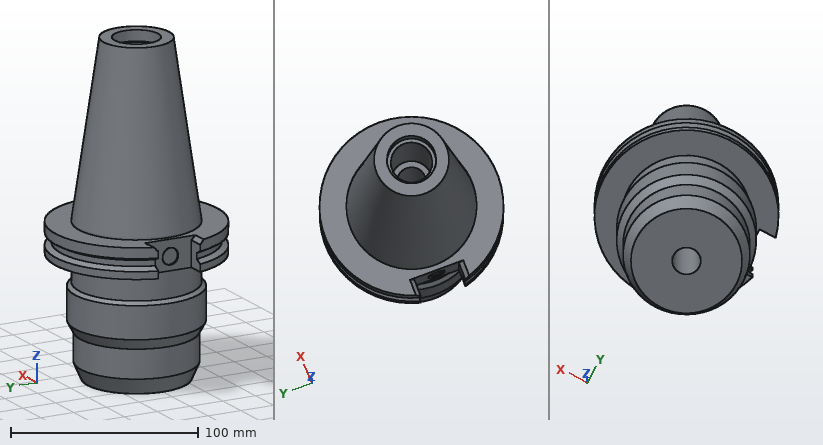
import cadquery as cq

total_height = 190.5
flange_diameter = 98.5
flange_radius = flange_diameter / 2
groove_radius = 45.7
taper_large_radius = 34.9
taper_small_radius = 20.0
neck_radius = taper_large_radius
collar_radius = 37.3
nose_radius = 34.0
nose_tip_radius = 29.7

nose_bevel_top = 9.5
nose_top = 26.3
collar_bottom = 32.5
collar_top = 51.6
neck_bottom = 53.5
flange_bottom = 70.0
flange_top = 87.6
taper_start = flange_top + 1.1

groove_middle = 78.0
groove_floor_width = 3.5
groove_mouth_width = 7.2

slot_floor_distance = 37.7
slot_half_width = 12.8
slot_bevel = 2.5
dimple_radius = 4.8
dimple_depth = 1.0

bore_radius = 7.6
thread_radius = 11.0
thread_depth = 47.6
counterbore_radius = 13.1
counterbore_depth = 6.3


def make_body():
    """Revolve the outer half profile, listed as (radius, height) from the nose up."""
    profile = [
        (0, 0),
        (nose_tip_radius, 0),
        (nose_radius, nose_bevel_top),
        (nose_radius, nose_top),
        (collar_radius, collar_bottom),
        (collar_radius, collar_top),
        (neck_radius, neck_bottom),
        (neck_radius, flange_bottom),
        (flange_radius, flange_bottom),
        (flange_radius, groove_middle - groove_mouth_width / 2),
        (groove_radius, groove_middle - groove_floor_width / 2),
        (groove_radius, groove_middle + groove_floor_width / 2),
        (flange_radius, groove_middle + groove_mouth_width / 2),
        (flange_radius, flange_top),
        (taper_large_radius, flange_top),
        (taper_large_radius, taper_start),
        (taper_small_radius, total_height),
        (0, total_height),
    ]
    return cq.Workplane("XZ").polyline(profile).close().revolve(360, (0, 0), (0, 1))


def make_drive_slot():
    """Slot through the flange, flared by a bevel at its upper edges."""
    half_outline = [
        (slot_half_width, flange_bottom),
        (slot_half_width, flange_top - slot_bevel),
        (slot_half_width + slot_bevel, flange_top),
    ]
    mirrored_outline = [(-y, z) for y, z in reversed(half_outline)]
    return (
        cq.Workplane("YZ", origin=(-slot_floor_distance, 0, 0))
        .polyline(half_outline + mirrored_outline)
        .close()
        .extrude(slot_floor_distance - flange_radius)
    )


def make_dimple():
    """Shallow round recess in the slot floor."""
    return (
        cq.Workplane("YZ", origin=(-slot_floor_distance, 0, 0))
        .center(0, groove_middle)
        .circle(dimple_radius)
        .extrude(dimple_depth)
    )


def bore_step(radius, depth):
    """Cylinder on the axis reaching down from the small end."""
    return cq.Workplane("XY").workplane(offset=total_height - depth).circle(radius).extrude(depth)


result = make_body().cut(make_drive_slot()).cut(make_dimple())
for step_radius, step_depth in [
    (bore_radius, total_height),
    (thread_radius, thread_depth),
    (counterbore_radius, counterbore_depth),
]:
    result = result.cut(bore_step(step_radius, step_depth))